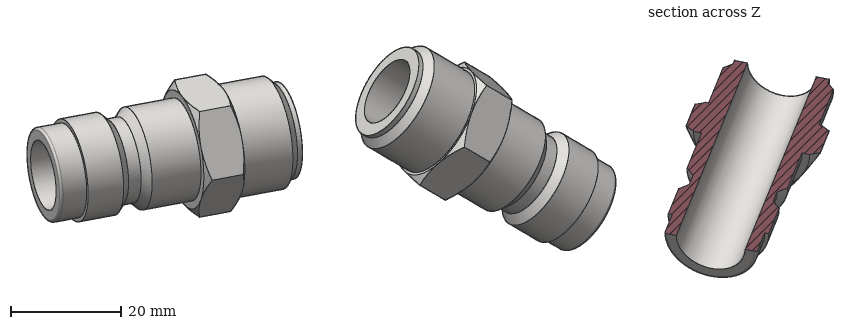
import cadquery as cq
import math

length = 47.0
bore_radius = 6.5
nose_radius = 8.8
nose_fillet = 0.45
body_radius = 9.55
groove_radius = 8.0
thread_radius = 10.5
tail_radius = 9.02
hex_sides = 6
hex_across_flats = 22.0
hex_chamfer_angle = 30.0

nose_end = 5.08
groove_floor_start = 13.55
groove_floor_end = 16.0
hex_start = 27.02
hex_end = 35.0
tail_start = 46.0

groove_depth = body_radius - groove_radius
groove_start = groove_floor_start - groove_depth
groove_end = groove_floor_end + groove_depth
thread_end = tail_start - (thread_radius - tail_radius)

hex_flat_radius = hex_across_flats / 2
hex_corner_radius = hex_flat_radius / math.cos(math.pi / hex_sides)


def revolve_profile(points):
    """Revolve (radius, distance from plug end) points around the Y axis."""
    placed = [(radius, distance - length / 2) for radius, distance in points]
    return cq.Workplane("XY").polyline(placed).close().revolve(360, (0, 0), (0, 1))


def make_turned_body():
    body = revolve_profile([
        (0, 0),
        (nose_radius, 0),
        (nose_radius, nose_end),
        (body_radius, nose_end),
        (body_radius, groove_start),
        (groove_radius, groove_floor_start),
        (groove_radius, groove_floor_end),
        (body_radius, groove_end),
        (body_radius, hex_start),
        (thread_radius, hex_start),
        (thread_radius, thread_end),
        (tail_radius, tail_start),
        (tail_radius, length),
        (0, length),
    ])
    return body.faces("<Y").edges().fillet(nose_fillet)


def make_hexagon():
    """Wrench hexagon with corners on X and conical chamfers on both faces."""
    prism = (
        cq.Workplane("XZ", origin=(0, hex_end - length / 2, 0))
        .polygon(hex_sides, 2 * hex_corner_radius)
        .extrude(hex_end - hex_start)
    )
    overreach = 0.45
    envelope_radius = hex_corner_radius + overreach
    drop = (envelope_radius - hex_flat_radius) * math.tan(math.radians(hex_chamfer_angle))
    envelope = revolve_profile([
        (0, hex_start),
        (hex_flat_radius, hex_start),
        (envelope_radius, hex_start + drop),
        (envelope_radius, hex_end - drop),
        (hex_flat_radius, hex_end),
        (0, hex_end),
    ])
    return prism.intersect(envelope)


def make_bore():
    return cq.Workplane("XZ").circle(bore_radius).extrude(length / 2, both=True)


result = make_turned_body().union(make_hexagon()).cut(make_bore())